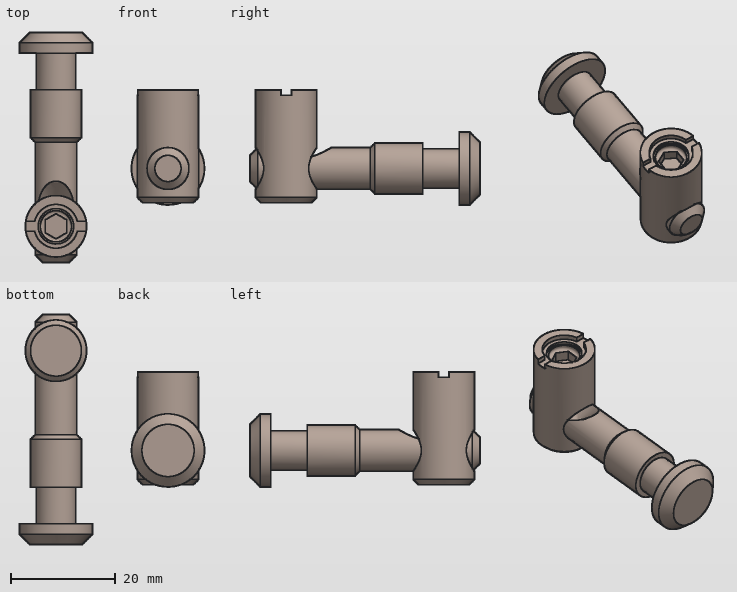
import cadquery as cq
import math


shank_radius = 4.0
shoulder_radius = 4.9
neck_radius = 3.8
head_radius = 7.0
head_thickness = 4.0
head_chamfer = head_thickness / 2
tip_chamfer = 1.5
tip_y = -6.95
bolt_length = 44
head_end_y = tip_y + bolt_length
head_base_y = head_end_y - head_thickness
shoulder_back_y = 26.1
shoulder_front_y = 16.05
shoulder_chamfer = shoulder_radius - shank_radius

relief_center_y = 3.2
relief_radius = 5.4
relief_depth = relief_radius

barrel_diameter = 11.75
barrel_radius = barrel_diameter / 2
barrel_top_z = 15.0
barrel_bottom_z = -6.55
barrel_chamfer = 1.0
recess_radius = 4.2
recess_depth = 1.0
slot_width = 2.0
screw_hole_radius = 3.4

screw_sink = 0.55
screw_top_z = barrel_top_z - recess_depth - screw_sink
screw_bottom_z = shank_radius
dish_radius = 3.0
dish_wall_height = 0.45
dish_fillet = 0.5
dish_depth = dish_wall_height + dish_fillet
hex_across_flats = 4.2
hex_depth = 3.0


def upright_cylinder(radius, bottom_z, top_z):
    """Cylinder about the Z axis between two heights."""
    return cq.Workplane("XY").workplane(offset=bottom_z).circle(radius).extrude(top_z - bottom_z)


def make_shank_relief():
    """Upright 45 degree cone, point down, that is full width at the top of the shank."""
    return cq.Workplane(
        cq.Solid.makeCone(
            relief_radius, 0, relief_depth,
            pnt=cq.Vector(0, relief_center_y, shank_radius), dir=cq.Vector(0, 0, -1),
        )
    )


def make_bolt():
    """Turned bolt with a chamfered head, shoulder and tip."""
    outline = [
        (0, tip_y),
        (shank_radius - tip_chamfer, tip_y),
        (shank_radius, tip_y + tip_chamfer),
        (shank_radius, shoulder_front_y),
        (shoulder_radius, shoulder_front_y + shoulder_chamfer),
        (shoulder_radius, shoulder_back_y),
        (neck_radius, shoulder_back_y),
        (neck_radius, head_base_y),
        (head_radius, head_base_y),
        (head_radius, head_end_y - head_chamfer),
        (head_radius - head_chamfer, head_end_y),
        (0, head_end_y),
    ]
    turned = cq.Workplane("XY").polyline(outline).close().revolve(360, (0, 0, 0), (0, 1, 0))
    return turned.cut(make_shank_relief())


def make_barrel():
    """Cross barrel with a bolt hole, a screw hole and a slotted recess in its top."""
    barrel = upright_cylinder(barrel_radius, barrel_bottom_z, barrel_top_z)
    barrel = barrel.faces("<Z").chamfer(barrel_chamfer)
    bolt_hole = cq.Workplane("XZ").circle(shank_radius).extrude(barrel_radius, both=True)
    recess_floor_z = barrel_top_z - recess_depth
    recess = upright_cylinder(recess_radius, recess_floor_z, barrel_top_z)
    slot = cq.Workplane("XY").workplane(offset=recess_floor_z).rect(2 * barrel_radius, slot_width)
    screw_hole = upright_cylinder(screw_hole_radius, 0, barrel_top_z)
    return barrel.cut(bolt_hole).cut(recess).cut(slot.extrude(recess_depth)).cut(screw_hole)


def make_set_screw():
    """Set screw that bears on the shank, with a dished hexagon socket."""
    screw = upright_cylinder(screw_hole_radius, screw_bottom_z, screw_top_z)
    dish = upright_cylinder(dish_radius, screw_top_z - dish_depth, screw_top_z)
    dish = dish.faces("<Z").edges().fillet(dish_fillet)
    hex_across_corners = hex_across_flats / math.cos(math.pi / 6)
    socket = (
        cq.Workplane("XY").workplane(offset=screw_top_z)
        .transformed(rotate=(0, 0, 30)).polygon(6, hex_across_corners).extrude(-hex_depth)
    )
    return screw.cut(dish).cut(socket)


bolt = make_bolt()
barrel = make_barrel()
set_screw = make_set_screw()

result = cq.Compound.makeCompound([bolt.val(), barrel.val(), set_screw.val()])